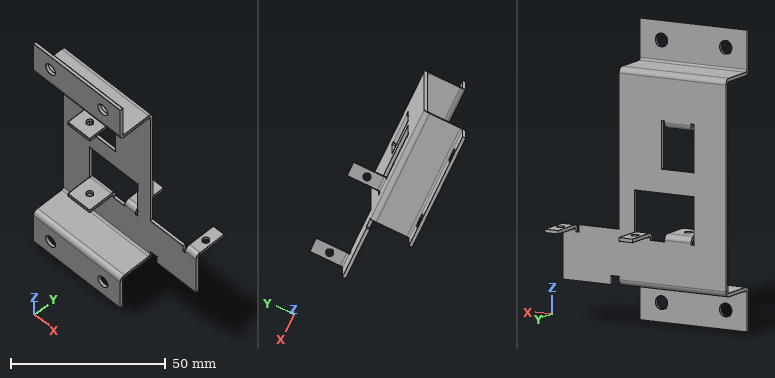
import cadquery as cq

THICKNESS = 1.2
INNER_RADIUS = 0.76
OUTER_RADIUS = INNER_RADIUS + THICKNESS

HEIGHT = 100.0
WIDTH = 40.0
OFFSET_DEPTH = 15.0
FLANGE_HEIGHT = 15.0
PLATE_BOTTOM = FLANGE_HEIGHT - THICKNESS

MOUNT_HOLE_DIAMETER = 4.5
MOUNT_HOLE_INSET_X = 8.0
MOUNT_HOLE_INSET_Z = 6.5

WINDOW_LEFT = 12.0
WINDOW_HEIGHT = 16.0
LOWER_WINDOW_BOTTOM = 30.0
LOWER_WINDOW_WIDTH = 22.2
UPPER_WINDOW_TOP = HEIGHT - LOWER_WINDOW_BOTTOM
UPPER_WINDOW_WIDTH = 12.0

RELIEF_WIDTH = 1.0
RELIEF_DEPTH = 2.5
TAB_TOP = LOWER_WINDOW_BOTTOM + RELIEF_DEPTH
FRONT_TAB_LEFT = WINDOW_LEFT + RELIEF_WIDTH
FRONT_TAB_WIDTH = UPPER_WINDOW_WIDTH - 2 * RELIEF_WIDTH
FRONT_TAB_LENGTH = 12.0
BACK_TAB_WIDTH = 5.0
WINDOW_TAB_LEFT = WINDOW_LEFT + LOWER_WINDOW_WIDTH - RELIEF_WIDTH - BACK_TAB_WIDTH
BACK_TAB_LENGTH = 13.0
TAB_HOLE_DIAMETER = 2.5
BACK_TAB_HOLE_INSET = 6.0
FRONT_TAB_HOLE_INSET = 5.0

ARM_RIGHT = 61.0
ARM_TAB_LEFT = ARM_RIGHT - BACK_TAB_WIDTH
ARM_NOTCH_SIZE = 3.0


def box(x_min, x_max, y_min, y_max, z_min, z_max):
    """Axis-aligned block between the given limits."""
    size = (x_max - x_min, y_max - y_min, z_max - z_min)
    return cq.Workplane("XY").box(*size, centered=False).translate((x_min, y_min, z_min))


def plate_block(x_min, x_max, z_min, z_max):
    """Block that fills the thickness of the back plate."""
    return box(x_min, x_max, -THICKNESS, 0, z_min, z_max)


def extrude_profile(profile, x_min, x_max):
    """Extrude a closed (y, z) profile along X."""
    return profile.close().extrude(x_max - x_min).translate((x_min, 0, 0))


def mirror_height(shape):
    """Mirror a shape about the horizontal plane at mid height."""
    return shape.mirror("XY", (0, 0, HEIGHT / 2))


def make_strip():
    """Hat-shaped strip: flange, web, back plate, web, flange."""
    front = -OFFSET_DEPTH
    mid = HEIGHT / 2
    lower_half = (
        cq.Workplane("YZ")
        .moveTo(front, 0)
        .lineTo(front, FLANGE_HEIGHT - OUTER_RADIUS)
        .radiusArc((front + OUTER_RADIUS, FLANGE_HEIGHT), OUTER_RADIUS)
        .lineTo(-OUTER_RADIUS, FLANGE_HEIGHT)
        .radiusArc((-THICKNESS, FLANGE_HEIGHT + INNER_RADIUS), -INNER_RADIUS)
        .lineTo(-THICKNESS, mid)
        .lineTo(0, mid)
        .lineTo(0, PLATE_BOTTOM + OUTER_RADIUS)
        .radiusArc((-OUTER_RADIUS, PLATE_BOTTOM), OUTER_RADIUS)
        .lineTo(front + OUTER_RADIUS, PLATE_BOTTOM)
        .radiusArc((front + THICKNESS, PLATE_BOTTOM - INNER_RADIUS), -INNER_RADIUS)
        .lineTo(front + THICKNESS, 0)
    )
    lower = extrude_profile(lower_half, 0, WIDTH)
    return lower.union(mirror_height(lower))


def make_arm():
    """Flat arm beside the plate, notched at its lower root and beside its tab."""
    notch_top = PLATE_BOTTOM + ARM_NOTCH_SIZE
    relief_left = ARM_TAB_LEFT - RELIEF_WIDTH
    arm = plate_block(WIDTH, ARM_RIGHT, PLATE_BOTTOM, TAB_TOP)
    arm = arm.cut(plate_block(WIDTH, WIDTH + ARM_NOTCH_SIZE, PLATE_BOTTOM, notch_top))
    return arm.cut(plate_block(relief_left, ARM_RIGHT, LOWER_WINDOW_BOTTOM, TAB_TOP))


def make_windows():
    """Cutters for the two rectangular windows."""
    lower = plate_block(
        WINDOW_LEFT,
        WINDOW_LEFT + LOWER_WINDOW_WIDTH,
        LOWER_WINDOW_BOTTOM,
        LOWER_WINDOW_BOTTOM + WINDOW_HEIGHT,
    )
    upper = plate_block(
        WINDOW_LEFT,
        WINDOW_LEFT + UPPER_WINDOW_WIDTH,
        UPPER_WINDOW_TOP - WINDOW_HEIGHT,
        UPPER_WINDOW_TOP,
    )
    return lower.union(upper)


def make_back_tab(left, width, length, hole_inset):
    """Tab rising from the plate and bent towards +Y, with a hole."""
    end = length - THICKNESS
    tab_bottom = TAB_TOP - THICKNESS
    bend_start = TAB_TOP - OUTER_RADIUS
    profile = (
        cq.Workplane("YZ")
        .moveTo(-THICKNESS, LOWER_WINDOW_BOTTOM)
        .lineTo(-THICKNESS, bend_start)
        .radiusArc((INNER_RADIUS, TAB_TOP), OUTER_RADIUS)
        .lineTo(end, TAB_TOP)
        .lineTo(end, tab_bottom)
        .lineTo(INNER_RADIUS, tab_bottom)
        .radiusArc((0, bend_start), -INNER_RADIUS)
        .lineTo(0, LOWER_WINDOW_BOTTOM)
    )
    hole = (
        cq.Workplane("XY", origin=(left + width / 2, end - hole_inset, tab_bottom))
        .circle(TAB_HOLE_DIAMETER / 2)
        .extrude(THICKNESS)
    )
    return extrude_profile(profile, left, left + width).cut(hole)


def make_front_tab(left, width, length, hole_inset):
    """Same tab bent towards -Y, by mirroring about the plate's middle plane."""
    return make_back_tab(left, width, length, hole_inset).mirror("XZ", (0, -THICKNESS / 2, 0))


def make_mount_holes():
    """Cutters for the two holes in each mounting flange."""
    centers = [
        (x, z)
        for x in (MOUNT_HOLE_INSET_X, WIDTH - MOUNT_HOLE_INSET_X)
        for z in (MOUNT_HOLE_INSET_Z, HEIGHT - MOUNT_HOLE_INSET_Z)
    ]
    return (
        cq.Workplane("XZ", origin=(0, THICKNESS - OFFSET_DEPTH, 0))
        .pushPoints(centers)
        .circle(MOUNT_HOLE_DIAMETER / 2)
        .extrude(THICKNESS)
    )


front_tab = make_front_tab(FRONT_TAB_LEFT, FRONT_TAB_WIDTH, FRONT_TAB_LENGTH, FRONT_TAB_HOLE_INSET)
window_tab = make_back_tab(WINDOW_TAB_LEFT, BACK_TAB_WIDTH, BACK_TAB_LENGTH, BACK_TAB_HOLE_INSET)
arm_tab = make_back_tab(ARM_TAB_LEFT, BACK_TAB_WIDTH, BACK_TAB_LENGTH, BACK_TAB_HOLE_INSET)

bracket = make_strip().union(make_arm())
bracket = bracket.cut(make_windows()).cut(make_mount_holes())
bracket = bracket.union(front_tab).union(mirror_height(front_tab))
result = bracket.union(window_tab).union(arm_tab)